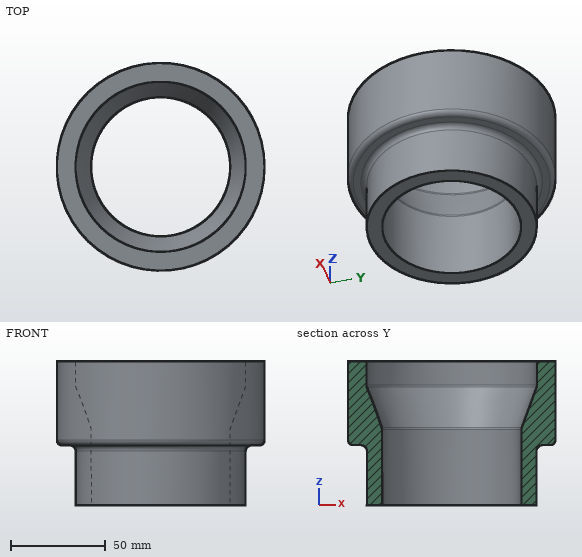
import cadquery as cq

body_diameter = 110.0
spigot_diameter = 90.0
total_height = 76.2
shoulder_height = 31.7
shoulder_round = 3.0

wide_bore_diameter = 90.0
narrow_bore_diameter = 73.5
cone_top_depth = 13.2
cone_bottom_depth = 35.6
bore_blend_radius = 3.0

body_radius = body_diameter / 2
spigot_radius = spigot_diameter / 2
wide_bore_radius = wide_bore_diameter / 2
narrow_bore_radius = narrow_bore_diameter / 2


def circles_within(radius, height):
    """Select the circles around Z at the given height, up to the given radius."""
    margin = 0.01
    reach = radius + margin
    return cq.selectors.BoxSelector(
        (-reach, -reach, height - margin), (reach, reach, height + margin), boundingbox=True
    )


def make_outside():
    """Wide body above a narrower spigot, with both shoulder corners rounded."""
    spigot = cq.Workplane("XY").circle(spigot_radius).extrude(shoulder_height)
    body = (
        cq.Workplane("XY")
        .workplane(offset=shoulder_height)
        .circle(body_radius)
        .extrude(total_height - shoulder_height)
    )
    return spigot.union(body).edges(circles_within(body_radius, shoulder_height)).fillet(shoulder_round)


def make_bore():
    """Solid of revolution that fills the bore, blended at both ends of the cone."""
    cone_top = total_height - cone_top_depth
    cone_bottom = total_height - cone_bottom_depth
    profile = (
        cq.Workplane("XZ")
        .polyline([
            (0, 0),
            (narrow_bore_radius, 0),
            (narrow_bore_radius, cone_bottom),
            (wide_bore_radius, cone_top),
            (wide_bore_radius, total_height),
            (0, total_height),
        ])
        .close()
    )
    bore = profile.revolve(360, (0, 0, 0), (0, 1, 0))
    bore = bore.edges(circles_within(narrow_bore_radius, cone_bottom)).fillet(bore_blend_radius)
    return bore.edges(circles_within(wide_bore_radius, cone_top)).fillet(bore_blend_radius)


result = make_outside().cut(make_bore())